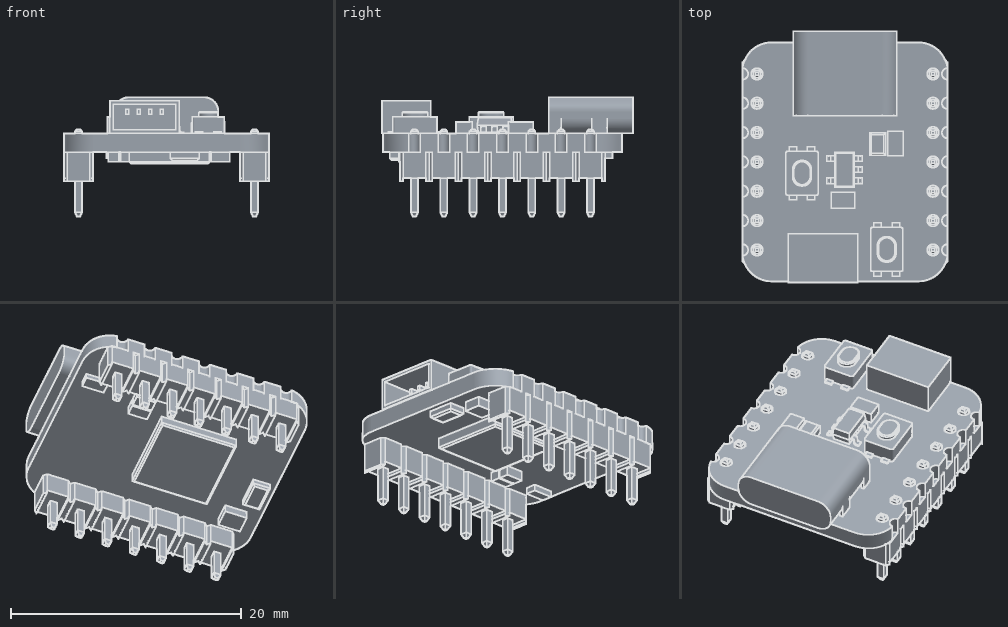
import cadquery as cq


board_width = 17.78
board_length = 20.72
board_thickness = 1.6
board_corner_radius = 2.55
hole_diameter = 1.0

pins_per_row = 7
pitch = board_width / pins_per_row
row_x = (board_width - pitch) / 2
header_chamfer = 0.28
header_height = pitch
header_slot_height = 0.28
pin_width = 0.63
pin_tip_width = 0.26
pin_top_taper = 0.2
pin_bottom_taper = 0.37
pin_top = 0.37
pin_bottom = -7.2

usb_width = 8.99
usb_height = 3.15
usb_radius = 1.26
usb_back_y = 4.0
usb_front_y = 11.32
usb_leg_thickness = 0.26
usb_legs = [(usb_back_y, 1.07), (7.72, 1.33)]

socket_x = -1.9
socket_front_y = -10.45
socket_width = 6.0
socket_length = 4.25
socket_height = 2.85
socket_wall = 0.3
contact_count = 4
contact_pitch = 1.0
contact_width = 0.26
contact_height = 0.41
contact_centre_z = 1.9
contact_length = 1.95

button_centres = [(-3.72, -0.98), (3.61, -7.57)]
button_width = 2.8
button_length = 3.83
button_height = 1.44
button_corner_radius = 0.2
cap_width = 1.63
cap_length = 2.22
cap_height = 0.45
cap_chamfer = 0.1
button_lead_width = 0.65
button_lead_spacing = 1.59
button_lead_overhang = 0.4
button_lead_thickness = 0.13

regulator_centre = (-0.05, -0.67)
regulator_width = 1.7
regulator_length = 3.05
regulator_bottom = 0.09
regulator_middle = 0.7
regulator_top = 1.35
regulator_bevel = 0.1
lead_pitch = 0.95
lead_width = 0.48
lead_thickness = 0.1
lead_reach = 1.55
lead_drop_x = 1.2
lead_bend_radius = 0.15
lead_top = 0.63

top_chips = [
    (4.37, 1.59, 1.33, 2.15, 1.0),
    (-0.17, -3.33, 2.0, 1.4, 1.0),
]
bottom_chips = [
    (-4.6, 3.92, 0.94, 1.75, 0.85),
    (-3.53, 3.92, 0.94, 1.75, 0.85),
    (4.68, -7.99, 1.6, 2.0, 0.85),
    (-4.7, 8.53, 1.0, 2.0, 0.55),
]

lamp_chip = (2.83, 1.55, 1.4, 1.94, 1.0, 0.15)
processor_chip = (0.26, -1.75, 6.96, 6.96, 1.0, 0.15)
crystal_chip = (1.59, -8.99, 2.52, 1.57, 0.7, 0.17)


def block(x, y, z, width, length, height):
    """Box centred on (x, y), rising from z."""
    box = cq.Workplane("XY").box(width, length, height, centered=(True, True, False))
    return box.translate((x, y, z))


def frustum(x, y, z_start, size_start, z_end, size_end):
    """Rectangular solid that tapers from one (width, length) to another."""
    return (
        cq.Workplane("XY", origin=(x, y, z_start))
        .rect(*size_start)
        .workplane(offset=z_end - z_start)
        .rect(*size_end)
        .loft(combine=True)
    )


def pin_positions():
    """Centres of all header pins."""
    return [
        (side * row_x, (i - (pins_per_row - 1) / 2) * pitch)
        for side in (-1, 1)
        for i in range(pins_per_row)
    ]


def make_board():
    """Rounded plate with a hole at every pin and a half hole in the edge beside it."""
    board = block(0, 0, -board_thickness, board_width, board_length, board_thickness)
    board = board.edges("|Z").fillet(board_corner_radius)
    edge_positions = [
        (board_width / 2 if x > 0 else -board_width / 2, y) for x, y in pin_positions()
    ]
    holes = (
        cq.Workplane("XY")
        .pushPoints(pin_positions() + edge_positions)
        .circle(hole_diameter / 2)
        .extrude(-board_thickness)
    )
    return board.cut(holes)


def make_header_cell():
    """One pin with its plastic block, slotted along X underneath."""
    bottom = -board_thickness - header_height
    cell = block(0, 0, bottom, pitch, pitch, header_height)
    cell = cell.edges("|Z").chamfer(header_chamfer)
    slot_width = pitch - 2 * header_chamfer
    cell = cell.cut(block(0, 0, bottom, pitch, slot_width, header_slot_height))

    shaft_bottom = pin_bottom + pin_bottom_taper
    shaft_top = pin_top - pin_top_taper
    full = (pin_width, pin_width)
    tip = (pin_tip_width, pin_tip_width)
    shaft = block(0, 0, shaft_bottom, pin_width, pin_width, shaft_top - shaft_bottom)
    return (
        cell.union(shaft)
        .union(frustum(0, 0, shaft_top, full, pin_top, tip))
        .union(frustum(0, 0, shaft_bottom, full, pin_bottom, tip))
    )


def make_usb():
    """Rounded shell standing on thin legs at its sides."""
    length = usb_front_y - usb_back_y
    shell = block(0, usb_back_y + length / 2, 0, usb_width, length, usb_height)
    shell = shell.edges("|Y").fillet(usb_radius)
    leg_x = (usb_width - usb_leg_thickness) / 2
    for start_y, leg_length in usb_legs:
        for side in (-1, 1):
            leg_y = start_y + leg_length / 2
            leg = block(side * leg_x, leg_y, 0, usb_leg_thickness, leg_length, usb_radius)
            shell = shell.union(leg)
    return shell


def make_socket():
    """Open-fronted box with a row of contacts on its back wall."""
    socket_y = socket_front_y + socket_length / 2
    body = block(socket_x, socket_y, 0, socket_width, socket_length, socket_height)
    cavity = block(
        socket_x,
        socket_y - socket_wall,
        socket_wall,
        socket_width - 2 * socket_wall,
        socket_length,
        socket_height - 2 * socket_wall,
    )
    body = body.cut(cavity)
    contact_y = socket_front_y + socket_length - socket_wall - contact_length / 2
    contact_z = contact_centre_z - contact_height / 2
    for i in range(contact_count):
        x = socket_x + (i - (contact_count - 1) / 2) * contact_pitch
        body = body.union(
            block(x, contact_y, contact_z, contact_width, contact_length, contact_height)
        )
    return body


def make_button():
    """Push button with an oblong cap and two leads at each end."""
    body = block(0, 0, 0, button_width, button_length, button_height)
    body = body.edges("|Z").fillet(button_corner_radius)
    cap = (
        cq.Workplane("XY", origin=(0, 0, button_height))
        .slot2D(cap_length, cap_width, 90)
        .extrude(cap_height)
        .faces(">Z")
        .chamfer(cap_chamfer)
    )
    button = body.union(cap)
    lead_length = button_length + 2 * button_lead_overhang
    for side in (-1, 1):
        x = side * button_lead_spacing / 2
        button = button.union(
            block(x, 0, 0, button_lead_width, lead_length, button_lead_thickness)
        )
    return button


def make_regulator_lead():
    """Lead from the body centre out to +X, bent down to the board and out again."""
    inner_x = lead_drop_x - lead_thickness
    knee_x = lead_drop_x - lead_bend_radius
    knee_z = lead_top - lead_bend_radius
    foot_x = lead_drop_x + lead_bend_radius
    foot_outer_radius = lead_bend_radius + lead_thickness
    knee_inner_radius = lead_bend_radius - lead_thickness
    profile = (
        cq.Workplane("XZ")
        .moveTo(0, lead_top)
        .lineTo(knee_x, lead_top)
        .radiusArc((lead_drop_x, knee_z), lead_bend_radius)
        .lineTo(lead_drop_x, foot_outer_radius)
        .radiusArc((foot_x, lead_thickness), -lead_bend_radius)
        .lineTo(lead_reach, lead_thickness)
        .lineTo(lead_reach, 0)
        .lineTo(foot_x, 0)
        .radiusArc((inner_x, foot_outer_radius), foot_outer_radius)
        .lineTo(inner_x, knee_z)
        .radiusArc((knee_x, lead_top - lead_thickness), -knee_inner_radius)
        .lineTo(0, lead_top - lead_thickness)
        .close()
    )
    return profile.extrude(lead_width / 2, both=True)


def make_regulator():
    """Body of two tapered halves, with three leads on +X and two on -X."""
    middle = (regulator_width, regulator_length)
    end = (regulator_width - 2 * regulator_bevel, regulator_length - 2 * regulator_bevel)
    body = frustum(0, 0, regulator_middle, middle, regulator_top, end)
    body = body.union(frustum(0, 0, regulator_middle, middle, regulator_bottom, end))
    lead = make_regulator_lead()
    mirrored_lead = lead.mirror("YZ")
    for row in (-1, 0, 1):
        body = body.union(lead.translate((0, row * lead_pitch, 0)))
    for row in (-1, 1):
        body = body.union(mirrored_lead.translate((0, row * lead_pitch, 0)))
    return body


def hang(chip):
    """Turn a chip built on Z = 0 over onto the board's underside."""
    return chip.mirror("XY").translate((0, 0, -board_thickness))


def make_bevelled_chip(x, y, width, length, height, bevel):
    """Rectangular chip with its outer face bevelled all round."""
    return block(x, y, 0, width, length, height).faces(">Z").chamfer(bevel)


result = make_board()

header_cell = make_header_cell()
for x, y in pin_positions():
    result = result.union(header_cell.translate((x, y, 0)))

result = result.union(make_usb()).union(make_socket())

button = make_button()
for x, y in button_centres:
    result = result.union(button.translate((x, y, 0)))

result = result.union(make_regulator().translate((*regulator_centre, 0)))

for x, y, width, length, height in top_chips:
    result = result.union(block(x, y, 0, width, length, height))
for x, y, width, length, height in bottom_chips:
    result = result.union(hang(block(x, y, 0, width, length, height)))

result = result.union(make_bevelled_chip(*lamp_chip))
for chip in (processor_chip, crystal_chip):
    result = result.union(hang(make_bevelled_chip(*chip)))